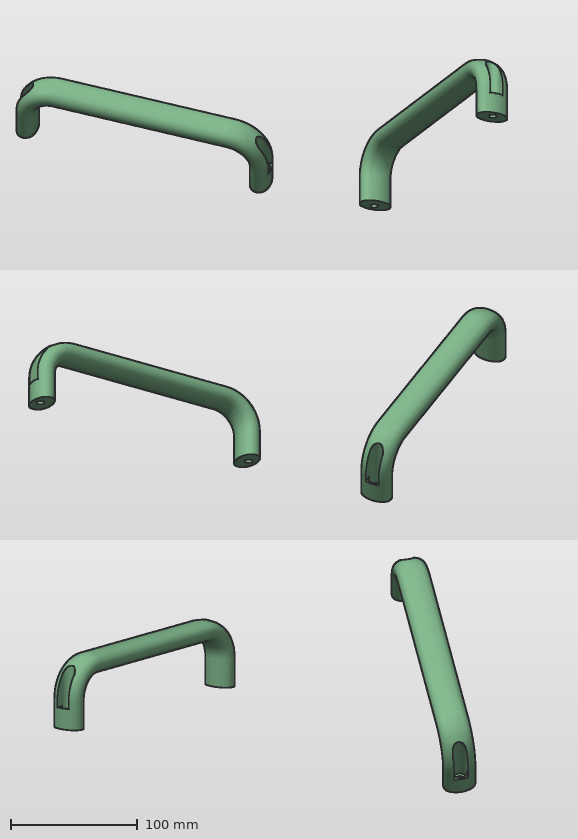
import cadquery as cq

length = 210.0
width = 26.0
height = 57.0

depth = 17.0
crown_end = (8.0, 7.0)
shoulder_end = (11.8, 4.0)

bend_outer_radius = 33.5
bend_radius = bend_outer_radius - depth / 2
leg_height = height - bend_outer_radius
leg_x = (length - depth) / 2
beam_z = height - depth / 2

hole_x = length / 2 - 7.0
hole_diameter = 6.3
recess_width = 11.3
recess_floor = 17.0
bore_floor = 8.0


def bar_section():
    """Oval wire at the foot of the left leg, built from eight arcs."""
    half_width = width / 2
    half_depth = depth / 2
    cy, cx = crown_end
    sy, sx = shoulder_end
    return (
        cq.Workplane("XY", origin=(-leg_x, 0, 0))
        .moveTo(-cx, -cy)
        .threePointArc((-half_depth, 0), (-cx, cy))
        .tangentArcPoint((-sx, sy), relative=False)
        .threePointArc((0, half_width), (sx, sy))
        .tangentArcPoint((cx, cy), relative=False)
        .threePointArc((half_depth, 0), (cx, -cy))
        .tangentArcPoint((sx, -sy), relative=False)
        .threePointArc((0, -half_width), (-sx, -sy))
        .tangentArcPoint((-cx, -cy), relative=False)
        .close()
    )


def handle_path():
    """Centre line: up the left leg, along the grip and down the right leg."""
    grip_end_x = leg_x - bend_radius
    return (
        cq.Workplane("XZ")
        .moveTo(-leg_x, 0)
        .lineTo(-leg_x, leg_height)
        .tangentArcPoint((-grip_end_x, beam_z), relative=False)
        .lineTo(grip_end_x, beam_z)
        .tangentArcPoint((leg_x, leg_height), relative=False)
        .lineTo(leg_x, 0)
    )


def mounting_cut(side):
    """Counterbored hole with a slot opening outward; side is -1 for left, +1 for right."""
    center_x = side * hole_x
    hole = cq.Workplane("XY").center(center_x, 0).circle(hole_diameter / 2).extrude(height)
    bore = (
        cq.Workplane("XY", origin=(center_x, 0, bore_floor))
        .circle(recess_width / 2)
        .extrude(height)
    )
    opening_length = length / 2 - hole_x
    opening = (
        cq.Workplane("XY", origin=(center_x + side * opening_length / 2, 0, recess_floor))
        .rect(opening_length, recess_width)
        .extrude(height)
    )
    return hole.union(bore).union(opening)


result = bar_section().sweep(handle_path())
for side in (-1, 1):
    result = result.cut(mounting_cut(side))